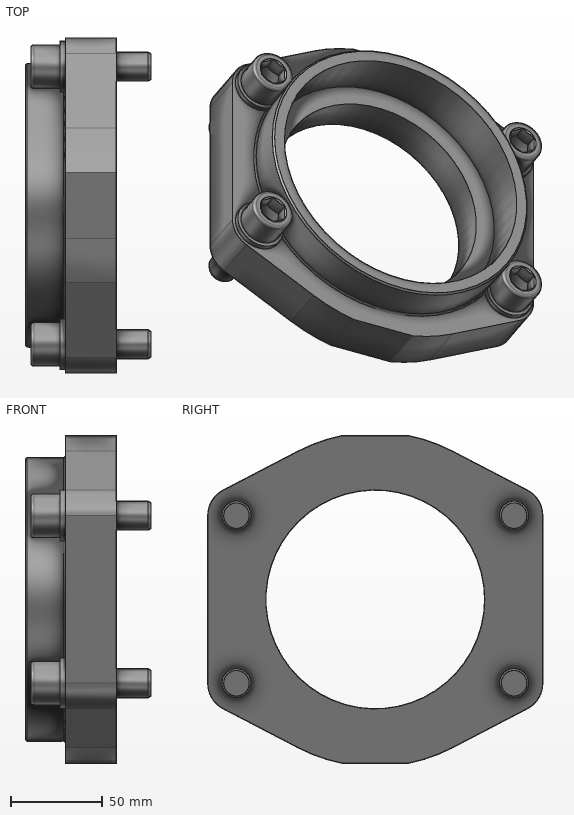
import cadquery as cq
import math

plate_thickness = 28.0
plate_half_width = 92.0
plate_half_height = 90.0
plate_round_radius = 91.8

bolt_offset_y = 76.2
bolt_offset_z = 46.0
corner_radius = plate_half_width - bolt_offset_y

collar_length = 22.0
collar_radius = 78.0
collar_edge_chamfer = 1.0
collar_foot_fillet = 1.0

bore_radius = 60.0
counterbore_radius = 71.0
counterbore_depth = 28.0

thread_diameter = 16.0
bolt_length = 50.0
bolt_tip_chamfer_length = 1.7
bolt_tip_chamfer_width = 1.0
head_diameter = 24.0
head_height = 16.0
head_edge_fillet = 1.6
washer_diameter = 28.0
washer_thickness = 3.0
socket_across_flats = 14.0
socket_depth = 8.0
socket_cone_angle = 120.0


def cylinder(radius, start_x, length):
    """Cylinder along +X, centred on the X axis."""
    return cq.Workplane("YZ").workplane(offset=start_x).circle(radius).extrude(length)


def revolve_about_x(points):
    """Solid of revolution about the X axis from (x, radius) points."""
    return cq.Workplane("XY").polyline(points).close().revolve(360, (0, 0, 0), (1, 0, 0))


def make_plate():
    """Round plate with four bolt corners joined to it by common tangent lines."""
    bolt_distance = math.hypot(bolt_offset_y, bolt_offset_z)
    bolt_angle = math.atan2(bolt_offset_z, bolt_offset_y)
    normal_angle = bolt_angle + math.acos((plate_round_radius - corner_radius) / bolt_distance)
    normal_y = math.cos(normal_angle)
    normal_z = math.sin(normal_angle)

    round_y = plate_round_radius * normal_y
    round_z = plate_round_radius * normal_z
    corner_y = bolt_offset_y + corner_radius * normal_y
    corner_z = bolt_offset_z + corner_radius * normal_z
    corner_mid_y = bolt_offset_y + corner_radius * math.cos(normal_angle / 2)
    corner_mid_z = bolt_offset_z + corner_radius * math.sin(normal_angle / 2)
    flat_y = math.sqrt(plate_round_radius**2 - plate_half_height**2)
    round_mid_angle = (normal_angle + math.atan2(plate_half_height, flat_y)) / 2
    round_mid_y = plate_round_radius * math.cos(round_mid_angle)
    round_mid_z = plate_round_radius * math.sin(round_mid_angle)

    quarter = (
        cq.Workplane("YZ")
        .lineTo(plate_half_width, 0)
        .lineTo(plate_half_width, bolt_offset_z)
        .threePointArc((corner_mid_y, corner_mid_z), (corner_y, corner_z))
        .lineTo(round_y, round_z)
        .threePointArc((round_mid_y, round_mid_z), (flat_y, plate_half_height))
        .lineTo(0, plate_half_height)
        .close()
        .extrude(plate_thickness)
    )
    half = quarter.union(quarter.mirror("XZ"))
    return half.union(half.mirror("XY")).clean()


def make_collar():
    """Collar with a chamfered front edge and a small fillet at its foot."""
    front_x = -collar_length
    foot_radius = collar_radius + collar_foot_fillet
    fillet_mid = collar_foot_fillet * (1 - math.sqrt(0.5))
    profile = (
        cq.Workplane("XY")
        .moveTo(front_x, 0)
        .lineTo(front_x, collar_radius - collar_edge_chamfer)
        .lineTo(front_x + collar_edge_chamfer, collar_radius)
        .lineTo(-collar_foot_fillet, collar_radius)
        .threePointArc((-fillet_mid, collar_radius + fillet_mid), (0, foot_radius))
        .lineTo(0, 0)
        .close()
    )
    return profile.revolve(360, (0, 0, 0), (1, 0, 0))


def make_bore():
    """Through bore with a wider counterbore from the collar side."""
    bore = cylinder(bore_radius, -collar_length, collar_length + plate_thickness)
    return bore.union(cylinder(counterbore_radius, -collar_length, counterbore_depth))


def make_socket(head_front_x):
    """Hexagon socket, corners up and down, with a conical mouth and bottom."""
    hex_diameter = socket_across_flats / math.cos(math.pi / 6)
    hex_radius = hex_diameter / 2
    bottom_x = head_front_x + socket_depth
    cone_height = hex_radius / math.tan(math.radians(socket_cone_angle / 2))
    hexagon = (
        cq.Workplane("YZ")
        .workplane(offset=head_front_x)
        .transformed(rotate=(0, 0, 90))
        .polygon(6, hex_diameter)
        .extrude(socket_depth + cone_height)
    )
    pointed_drill = revolve_about_x([
        (head_front_x, 0),
        (head_front_x, hex_radius),
        (bottom_x, hex_radius),
        (bottom_x + cone_height, 0),
    ])
    mouth = revolve_about_x([
        (head_front_x, 0),
        (head_front_x, hex_radius),
        (head_front_x + cone_height, 0),
    ])
    return hexagon.intersect(pointed_drill).union(mouth)


def make_bolt():
    """Socket head bolt and washer on the X axis, washer seated at X = 0."""
    seat_x = -washer_thickness
    head_front_x = seat_x - head_height
    tip_x = seat_x + bolt_length
    thread_radius = thread_diameter / 2
    shank = revolve_about_x([
        (seat_x, 0),
        (seat_x, thread_radius),
        (tip_x - bolt_tip_chamfer_length, thread_radius),
        (tip_x, thread_radius - bolt_tip_chamfer_width),
        (tip_x, 0),
    ])
    head = cylinder(head_diameter / 2, head_front_x, head_height)
    head = head.faces("<X").edges().fillet(head_edge_fillet)
    head = head.cut(make_socket(head_front_x))
    washer = cylinder(washer_diameter / 2, seat_x, washer_thickness)
    return shank.union(washer).union(head)


result = make_plate().union(make_collar()).cut(make_bore())
bolt = make_bolt()
for side_y in (-1, 1):
    for side_z in (-1, 1):
        result = result.union(bolt.translate((0, side_y * bolt_offset_y, side_z * bolt_offset_z)))